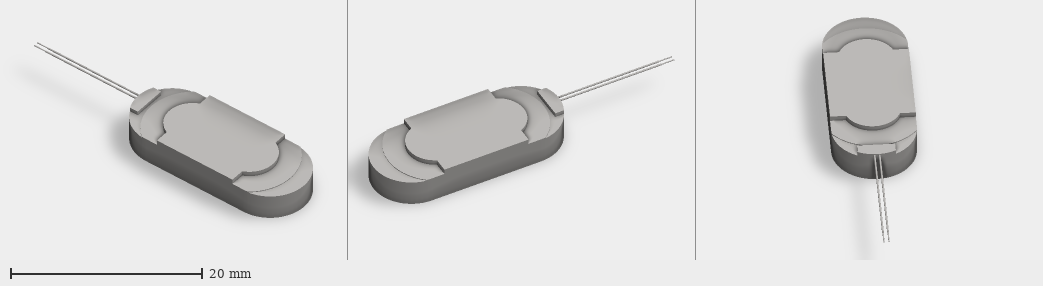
import cadquery as cq

body_width = 9.0
body_length = 22.0
rim_height = 3.0

deck_height = 3.1
deck_length = 18.4
deck_shoulder_length = 14.0

cover_height = 3.7
cover_length = 10.0
cover_bulge_span = 13.7
cover_bulge_width = 5.66

terminal_depth = 1.5
terminal_width = 4.0
terminal_height = 3.5

overall_length = 35.55
insulation_diameter = 0.2
core_diameter = 0.13
wire_spacing = 0.53
wire_axis_height = 3.3
bare_tip_length = 1.5
wire_embedment = 1.0
body_end_x = -body_length / 2
wire_tip_x = body_length / 2 - overall_length


def obround_prism(height):
    """Prism with the body outline, from Z = 0 up to the given height."""
    return cq.Workplane("XY").slot2D(body_length, body_width).extrude(height)


def bulged_prism(shoulder_length, shoulder_width, span, height):
    """Prism with straight long sides and an outward arc at each end."""
    x = shoulder_length / 2
    y = shoulder_width / 2
    return (
        cq.Workplane("XY")
        .moveTo(-x, -y)
        .lineTo(x, -y)
        .threePointArc((span / 2, 0), (x, y))
        .lineTo(-x, y)
        .threePointArc((-span / 2, 0), (-x, -y))
        .close()
        .extrude(height)
    )


def make_deck():
    deck = bulged_prism(deck_shoulder_length, body_width, deck_length, deck_height)
    return deck.intersect(obround_prism(deck_height))


def make_cover():
    plate = cq.Workplane("XY").rect(cover_length, body_width).extrude(cover_height)
    bulges = bulged_prism(cover_length, cover_bulge_width, cover_bulge_span, cover_height)
    return plate.union(bulges)


def make_terminal():
    block = (
        cq.Workplane("XY")
        .center(body_end_x + terminal_depth / 2, 0)
        .rect(terminal_depth, terminal_width)
        .extrude(terminal_height)
    )
    return block.intersect(obround_prism(terminal_height))


def rod(start_x, end_x, y, diameter):
    """Round rod along X at the height of the wires."""
    return (
        cq.Workplane("YZ", origin=(start_x, y, wire_axis_height))
        .circle(diameter / 2)
        .extrude(end_x - start_x)
    )


def make_wire(y):
    anchor_x = body_end_x + wire_embedment
    insulation = rod(wire_tip_x + bare_tip_length, anchor_x, y, insulation_diameter)
    core = rod(wire_tip_x, anchor_x, y, core_diameter)
    return insulation.union(core)


result = obround_prism(rim_height).union(make_deck()).union(make_cover()).union(make_terminal())
for side in (-1, 1):
    result = result.union(make_wire(side * wire_spacing / 2))